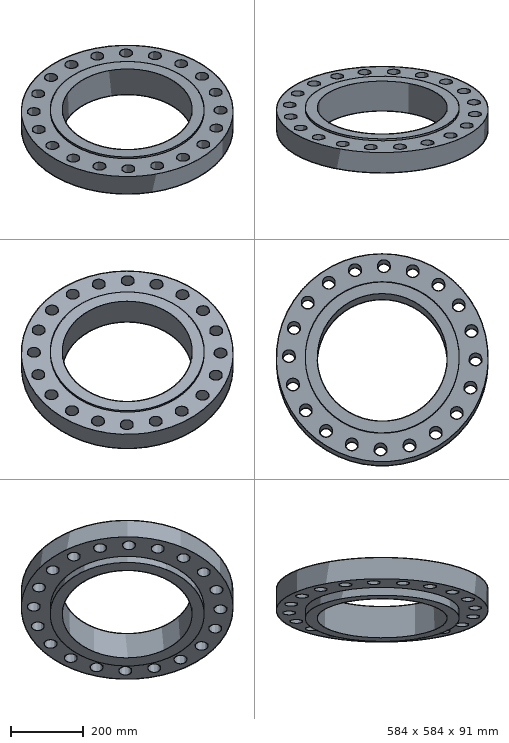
import cadquery as cq

flange_diameter = 584.0
flange_thickness = 62.0
bore_diameter = 358.0

hub_diameter = 425.0
hub_height = 23.0
raised_face_diameter = 425.0
raised_face_height = 6.0

bolt_count = 20
bolt_circle_diameter = 514.5
bolt_hole_diameter = 35.0
bolt_pitch_angle = 360 / bolt_count

total_height = hub_height + flange_thickness + raised_face_height


def disc(diameter, height, base_z):
    """Solid disc about the Z axis, standing on base_z."""
    return cq.Workplane("XY").workplane(offset=base_z).circle(diameter / 2).extrude(height)


hub = disc(hub_diameter, hub_height, 0)
ring = disc(flange_diameter, flange_thickness, hub_height)
raised_face = disc(raised_face_diameter, raised_face_height, hub_height + flange_thickness)
bore = disc(bore_diameter, total_height, 0)

bolt_holes = (
    cq.Workplane("XY")
    .workplane(offset=hub_height)
    .polarArray(bolt_circle_diameter / 2, bolt_pitch_angle / 2, 360, bolt_count)
    .circle(bolt_hole_diameter / 2)
    .extrude(flange_thickness)
)

result = hub.union(ring).union(raised_face).cut(bore).cut(bolt_holes)